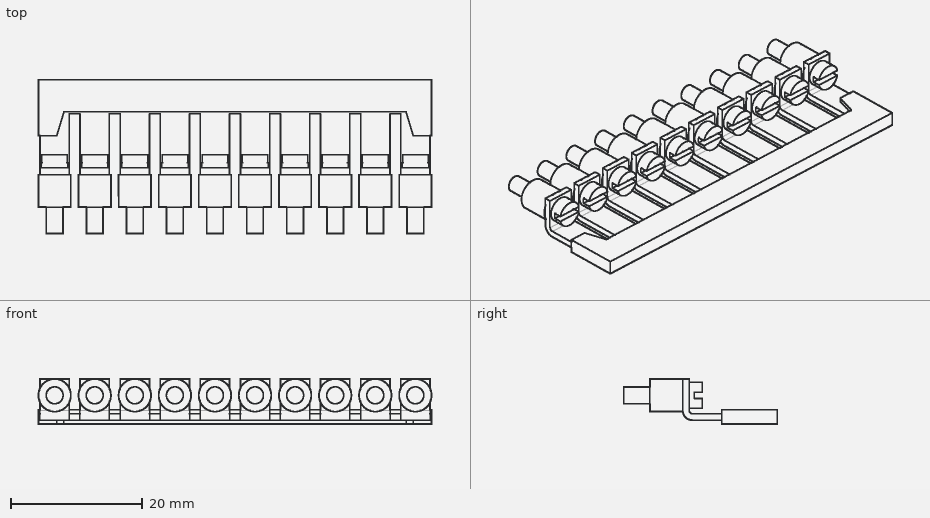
import cadquery as cq


total_length = 59.9
total_depth = 23.4
total_height = 6.9

screw_count = 10
collar_diameter = 5.0
collar_length = 5.0
pin_diameter = 2.6
pin_length = 4.0
head_diameter = 4.0
head_length = 2.0
driver_slot_width = 0.9
driver_slot_depth = 1.2
screw_pitch = (total_length - collar_diameter) / (screw_count - 1)
screw_axis_z = total_height - collar_diameter / 2

sheet_thickness = 1.0
tooth_width = 4.5
bend_inner_radius = 0.5
bend_outer_radius = bend_inner_radius + sheet_thickness

bar_height = 2.2
bar_depth = 4.9
leg_depth = 8.5
leg_tip_width = 2.8
leg_root_width = 3.9
web_overhang = 0.3

tab_front_y = -(total_depth - pin_length - collar_length)
tab_back_y = tab_front_y + sheet_thickness
sheet_bottom_z = (bar_height - sheet_thickness) / 2
comb_width = (screw_count - 1) * screw_pitch + tooth_width
comb_back_y = -bar_depth / 2
web_front_y = -(bar_depth + web_overhang)
screw_positions = [(i - (screw_count - 1) / 2) * screw_pitch for i in range(screw_count)]


def make_bar():
    """Bar with a tapered leg reaching forward at each end."""
    end_x = total_length / 2
    root_x = end_x - leg_root_width
    tip_x = end_x - leg_tip_width
    outline = [
        (-end_x, 0),
        (end_x, 0),
        (end_x, -leg_depth),
        (tip_x, -leg_depth),
        (root_x, -bar_depth),
        (-root_x, -bar_depth),
        (-tip_x, -leg_depth),
        (-end_x, -leg_depth),
    ]
    return cq.Workplane("XY").polyline(outline).close().extrude(bar_height)


def make_web():
    """Strip of the comb that joins the teeth at their roots."""
    return (
        cq.Workplane("XY", origin=(0, 0, sheet_bottom_z))
        .moveTo(0, (comb_back_y + web_front_y) / 2)
        .rect(comb_width, comb_back_y - web_front_y)
        .extrude(sheet_thickness)
    )


def make_tooth(x):
    """L-shaped tooth: flat run forward, rounded bend, upright tab."""
    sheet_top_z = sheet_bottom_z + sheet_thickness
    bend_start_y = tab_front_y + bend_outer_radius
    bend_end_z = sheet_bottom_z + bend_outer_radius
    return (
        cq.Workplane("YZ", origin=(x, 0, 0))
        .moveTo(comb_back_y, sheet_bottom_z)
        .lineTo(bend_start_y, sheet_bottom_z)
        .radiusArc((tab_front_y, bend_end_z), bend_outer_radius)
        .lineTo(tab_front_y, total_height)
        .lineTo(tab_back_y, total_height)
        .lineTo(tab_back_y, bend_end_z)
        .radiusArc((bend_start_y, sheet_top_z), -bend_inner_radius)
        .lineTo(comb_back_y, sheet_top_z)
        .close()
        .extrude(tooth_width / 2, both=True)
    )


def make_rod(x, back_y, diameter, length):
    """Cylinder on the screw axis, running forward from back_y."""
    plane = cq.Workplane("XZ", origin=(x, back_y, screw_axis_z))
    return plane.circle(diameter / 2).extrude(length)


def make_screw(x):
    """Slotted head behind the tab, with collar and pin in front of it."""
    head_back_y = tab_back_y + head_length
    driver_slot = cq.Workplane("XY").box(
        head_diameter, 2 * driver_slot_depth, driver_slot_width
    ).translate((x, head_back_y, screw_axis_z))
    head = make_rod(x, head_back_y, head_diameter, head_length).cut(driver_slot)
    collar = make_rod(x, tab_front_y, collar_diameter, collar_length)
    pin = make_rod(x, tab_front_y - collar_length, pin_diameter, pin_length)
    return head, collar, pin


result = make_bar().union(make_web())
for screw_x in screw_positions:
    result = result.union(make_tooth(screw_x))
    for screw_part in make_screw(screw_x):
        result = result.union(screw_part)